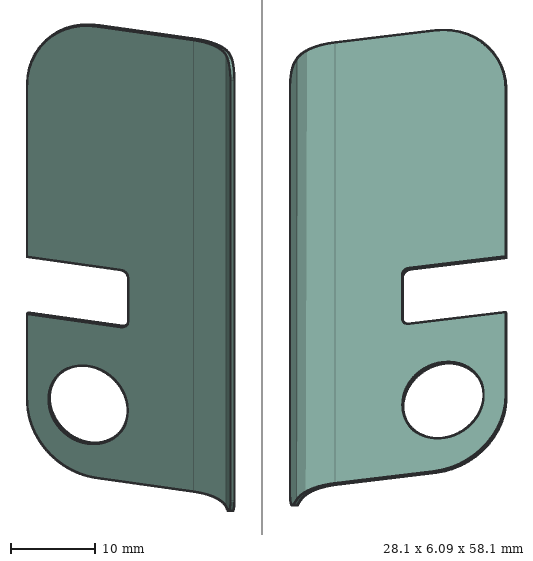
import cadquery as cq
import math

thickness = 0.5
flat_width = 21.0
plate_height = 58.11
inner_bend_radius = 6.0
bend_angle = 60.0
lip_length = 2.995

flat_corner_radius = 8.75
lip_corner_radius = 2.0

hole_diameter = 10.0
hole_center_x = 7.7
hole_center_z = 9.25
slot_depth = 12.75
slot_bottom_z = 19.85
slot_height = 7.35
slot_corner_radius = 0.9

outer_bend_radius = inner_bend_radius + thickness


def bend_point(radius, angle):
    """Point on the bend at a radius and an angle (degrees) turned away from the flat."""
    turn = math.radians(angle)
    x = flat_width + radius * math.sin(turn)
    y = radius * math.cos(turn) - outer_bend_radius
    return x, y


def lip_end(radius):
    """Free end of the lip on the sheet face that follows the given bend radius."""
    turn = math.radians(bend_angle)
    x, y = bend_point(radius, bend_angle)
    return x + lip_length * math.cos(turn), y - lip_length * math.sin(turn)


def bent_sheet():
    """Flat, bend and lip extruded upwards; the outer face of the flat lies on Y = 0."""
    return (
        cq.Workplane("XY")
        .moveTo(0, 0)
        .lineTo(flat_width, 0)
        .threePointArc(
            bend_point(outer_bend_radius, bend_angle / 2),
            bend_point(outer_bend_radius, bend_angle),
        )
        .lineTo(*lip_end(outer_bend_radius))
        .lineTo(*lip_end(inner_bend_radius))
        .lineTo(*bend_point(inner_bend_radius, bend_angle))
        .threePointArc(
            bend_point(inner_bend_radius, bend_angle / 2),
            bend_point(inner_bend_radius, 0),
        )
        .lineTo(0, -thickness)
        .close()
        .extrude(plate_height)
    )


def round_corners(sheet):
    """Round the outer corners of the flat and of the lip."""
    sheet = sheet.faces("<X").edges("|Y").fillet(flat_corner_radius)
    lip_turn = math.radians(bend_angle)
    lip_direction = cq.Vector(math.cos(lip_turn), -math.sin(lip_turn), 0)
    lip_end_face = sheet.faces(cq.selectors.DirectionMinMaxSelector(lip_direction, True))
    lip_corners = lip_end_face.edges("<Z or >Z")
    return lip_corners.fillet(lip_corner_radius)


def hole_cutter():
    """Round hole through the flat."""
    return (
        cq.Workplane("XZ")
        .center(hole_center_x, hole_center_z)
        .circle(hole_diameter / 2)
        .extrude(thickness)
    )


def slot_cutter():
    """Slot open at the free edge of the flat, with rounded inner corners."""
    return (
        cq.Workplane("XZ")
        .moveTo(0, slot_bottom_z)
        .rect(slot_depth, slot_height, centered=False)
        .extrude(thickness)
        .faces(">X")
        .edges("|Y")
        .fillet(slot_corner_radius)
    )


result = round_corners(bent_sheet()).cut(hole_cutter()).cut(slot_cutter())